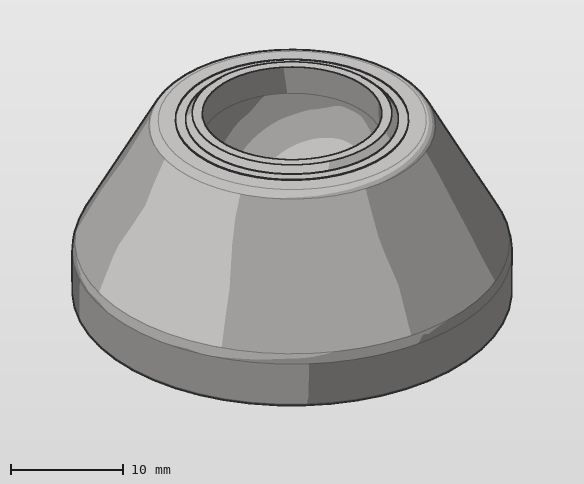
import cadquery as cq

base_radius = 19.5
rim_height = 4.95
shoulder_radius = 12.45
shoulder_height = 17.95
rim_fillet = 1.95
shoulder_fillet = 0.95
bottom_fillet = 0.3

total_height = 18.65
flange_radius = 10.35
flange_rise = 0.08
collar_radius = 9.45
collar_chamfer = 0.6

socket_radius = 7.95
bore_depth = 2.7


def cylinder(radius, bottom, top):
    return cq.Workplane("XY").workplane(offset=bottom).circle(radius).extrude(top - bottom)


def make_body():
    profile = (
        cq.Workplane("XZ")
        .lineTo(base_radius, 0)
        .lineTo(base_radius, rim_height)
        .lineTo(shoulder_radius, shoulder_height)
        .lineTo(0, shoulder_height)
        .close()
    )
    body = profile.revolve(360, (0, 0, 0), (0, 1, 0))
    body = body.faces(">Z").edges().fillet(shoulder_fillet)
    body = body.faces("<Z").edges().fillet(bottom_fillet)
    rim_corner = cq.selectors.NearestToPointSelector((0, 0, rim_height))
    return body.edges(rim_corner).fillet(rim_fillet)


def make_insert():
    flange = cylinder(flange_radius, shoulder_height, shoulder_height + flange_rise)
    collar = cylinder(collar_radius, shoulder_height, total_height)
    return flange.union(collar.faces(">Z").edges().chamfer(collar_chamfer))


def make_socket():
    bore_bottom = total_height - bore_depth
    ball = cq.Workplane("XY").sphere(socket_radius).translate((0, 0, bore_bottom))
    return cylinder(socket_radius, bore_bottom, total_height).union(ball)


result = make_body().union(make_insert()).cut(make_socket())